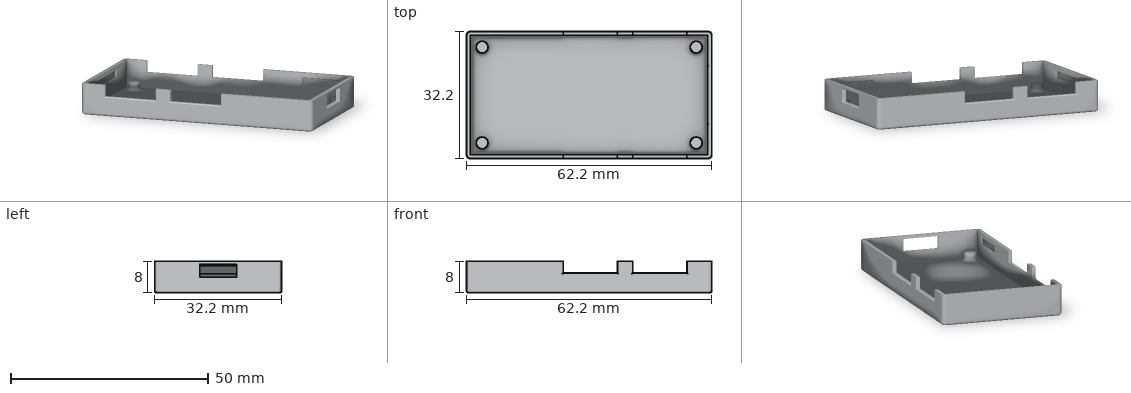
import cadquery as cq
import math

length = 62.2
width = 32.2
height = 8.0
wall = 1.0
floor = 1.0
corner_radius = 1.0
bottom_radius = 0.6

stud_inset = 4.0
stud_radius = 1.5
stud_height = 2.0
stud_foot_radius = 1.0

notch_width = 13.7
notch_depth = 3.0
notch_centers = (0.3, 17.9)

window_width = 9.3
window_bottom = 4.0
window_top = 7.3
window_corner_radius = 0.2

edge_softening = 0.3

groove_depth = 0.5
groove_radius = 0.3
groove_bottom = 4.85
groove_top = 6.85
end_groove_length = 14.9
side_groove_length = 10.1
side_groove_center = -22.2

inner_x = length / 2 - wall
inner_y = width / 2 - wall


def make_tray():
    """Open box with rounded outer corners and a sharp-cornered cavity."""
    outer = (
        cq.Workplane("XY")
        .box(length, width, height, centered=(True, True, False))
        .edges("|Z")
        .fillet(corner_radius)
        .faces("<Z")
        .edges()
        .fillet(bottom_radius)
    )
    cavity = (
        cq.Workplane("XY")
        .workplane(offset=floor)
        .rect(2 * inner_x, 2 * inner_y)
        .extrude(height)
    )
    return outer.cut(cavity)


def make_stud():
    """Stud at the origin whose foot flares out into the floor."""
    flare_radius = stud_radius + stud_foot_radius
    arc_offset = stud_foot_radius * (1 - math.cos(math.pi / 4))
    return (
        cq.Workplane("XZ")
        .lineTo(flare_radius, 0)
        .threePointArc(
            (stud_radius + arc_offset, arc_offset),
            (stud_radius, stud_foot_radius),
        )
        .lineTo(stud_radius, stud_height)
        .lineTo(0, stud_height)
        .close()
        .revolve(360, (0, 0, 0), (0, 1, 0))
    )


def cut_notch(body, center_x, side):
    """Cut one notch into the long wall at side * Y and soften its outer edges."""
    outer_y = side * width / 2
    notch = (
        cq.Workplane("XY")
        .box(notch_width, 2 * wall, 2 * notch_depth)
        .translate((center_x, outer_y, height))
    )
    reach = notch_width / 2 + edge_softening
    outer_edges = cq.selectors.BoxSelector(
        (center_x - reach, outer_y - edge_softening, height - notch_depth - edge_softening),
        (center_x + reach, outer_y + edge_softening, height - edge_softening),
    )
    return body.cut(notch).edges(outer_edges).fillet(edge_softening)


def cut_window(body):
    """Cut the connector window through the -X wall and soften its outer edges."""
    outer_x = -length / 2
    middle_z = (window_bottom + window_top) / 2
    window_height = window_top - window_bottom
    window = (
        cq.Workplane("XY")
        .box(2 * wall, window_width, window_height)
        .edges("|X")
        .fillet(window_corner_radius)
        .translate((outer_x, 0, middle_z))
    )
    reach_y = window_width / 2 + edge_softening
    reach_z = window_height / 2 + edge_softening / 2
    outer_edges = cq.selectors.BoxSelector(
        (outer_x - edge_softening, -reach_y, middle_z - reach_z),
        (outer_x + edge_softening, reach_y, middle_z + reach_z),
    )
    return body.cut(window).edges(outer_edges).fillet(edge_softening)


def make_groove(groove_length):
    """Groove running along X, cut into a wall whose inner face is at y = 0."""
    groove = (
        cq.Workplane("XY")
        .box(groove_length, 2 * groove_depth, groove_top - groove_bottom)
        .translate((0, 0, (groove_top + groove_bottom) / 2))
    )
    return groove.faces(">Y").edges("|Z or >Z").fillet(groove_radius)


result = make_tray()

stud = make_stud()
for side_x in (-1, 1):
    for side_y in (-1, 1):
        stud_x = side_x * (length / 2 - stud_inset)
        stud_y = side_y * (width / 2 - stud_inset)
        result = result.union(stud.translate((stud_x, stud_y, floor)))

for notch_x in notch_centers:
    for side_y in (-1, 1):
        result = cut_notch(result, notch_x, side_y)

result = cut_window(result)

end_groove = make_groove(end_groove_length).rotate((0, 0, 0), (0, 0, 1), -90)
result = result.cut(end_groove.translate((inner_x, 0, 0)))

side_groove = make_groove(side_groove_length).translate((side_groove_center, inner_y, 0))
result = result.cut(side_groove)
result = result.cut(side_groove.mirror("XZ"))